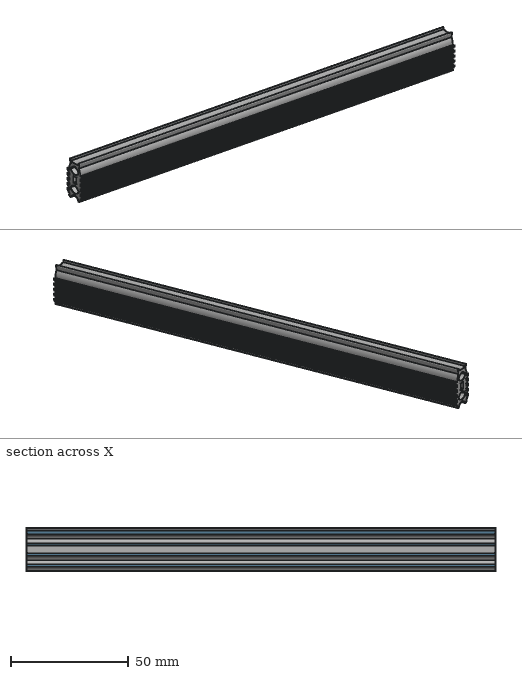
import cadquery as cq
import math

LENGTH = 200
HEIGHT = 18.5
TOP = HEIGHT / 2
BOTTOM = -HEIGHT / 2
WALL_X = 3.8

FIN_TIP_X = 5.2
FIN_COUNT = 5
FIN_PITCH = 2.5
FIRST_FIN_TOP = 3.8
FIN_TIP_HEIGHT = 0.5
FIN_TOP_DROP = 0.5
FIN_ROOT_DROP = 2.0

RAIL_OUTER_X = 3.5
RAIL_INNER_X = 2.5
RAIL_TIP_X = (RAIL_OUTER_X + RAIL_INNER_X) / 2
RAIL_TIP_RADIUS = (RAIL_OUTER_X - RAIL_INNER_X) / 2
RAIL_SIDE_TOP_Z = TOP - RAIL_TIP_RADIUS
CHANNEL_RADIUS = 12.0
CHANNEL_FLOOR_Z = 8.0
CHANNEL_SAG = CHANNEL_RADIUS - math.sqrt(CHANNEL_RADIUS**2 - RAIL_INNER_X**2)
CHANNEL_CORNER_Z = CHANNEL_FLOOR_Z + CHANNEL_SAG

NECK_X = 3.0
NECK_Z = 6.8
SHOULDER_MID_X = 3.5
SHOULDER_MID_Z = 5.5
SHOULDER_END_Z = 4.5

LENS_WIDTH = 5.5
LENS_HEIGHT = 3.5
LENS_SPACING = 9.0
LENS_RADIUS = (LENS_WIDTH**2 + LENS_HEIGHT**2) / (4 * LENS_HEIGHT)

FOOT_OUTER_X = 4.0
FOOT_OUTER_Z = -8.5
FOOT_TIP_X = 3.2
FOOT_INNER_X = LENS_WIDTH / 2
GROOVE_TOP_Z = BOTTOM + LENS_HEIGHT / 2

SLOT_WIDTH = 1.9
SLOT_HEIGHT = 3.2


def section_plane():
    """XZ plane at the +Y end; a positive extrusion runs towards -Y."""
    return cq.Workplane("XZ", origin=(0, LENGTH / 2, 0))


def half_body():
    """The +X half of the profile, from the channel down to the groove."""
    outline = (
        section_plane()
        .moveTo(0, CHANNEL_FLOOR_Z)
        .radiusArc((RAIL_INNER_X, CHANNEL_CORNER_Z), -CHANNEL_RADIUS)
        .lineTo(RAIL_INNER_X, RAIL_SIDE_TOP_Z)
        .threePointArc((RAIL_TIP_X, TOP), (RAIL_OUTER_X, RAIL_SIDE_TOP_Z))
        .lineTo(NECK_X, NECK_Z)
        .threePointArc((SHOULDER_MID_X, SHOULDER_MID_Z), (WALL_X, SHOULDER_END_Z))
    )
    for index in range(FIN_COUNT):
        tip_z = FIRST_FIN_TOP - index * FIN_PITCH
        outline = (
            outline
            .lineTo(WALL_X, tip_z - FIN_TOP_DROP)
            .lineTo(FIN_TIP_X, tip_z)
            .lineTo(FIN_TIP_X, tip_z - FIN_TIP_HEIGHT)
            .lineTo(WALL_X, tip_z - FIN_ROOT_DROP)
        )
    outline = (
        outline
        .lineTo(FOOT_OUTER_X, FOOT_OUTER_Z)
        .lineTo(FOOT_TIP_X, BOTTOM)
        .lineTo(FOOT_INNER_X, BOTTOM)
        .radiusArc((0, GROOVE_TOP_Z), -LENS_RADIUS)
        .close()
    )
    return outline.extrude(LENGTH)


def lens_bore(centre_z):
    """Bore bounded by an upper and a lower arc that meet at its sides."""
    left = (-LENS_WIDTH / 2, centre_z)
    right = (LENS_WIDTH / 2, centre_z)
    return (
        section_plane()
        .moveTo(*left)
        .threePointArc((0, centre_z + LENS_HEIGHT / 2), right)
        .threePointArc((0, centre_z - LENS_HEIGHT / 2), left)
        .close()
        .extrude(LENGTH)
    )


def centre_slot():
    """Rectangular slot through the whole length, between the bores."""
    return section_plane().rect(SLOT_WIDTH, SLOT_HEIGHT).extrude(LENGTH)


right_half = half_body()
body = right_half.union(right_half.mirror("YZ"), clean=True)
for bore_z in (LENS_SPACING / 2, -LENS_SPACING / 2):
    body = body.cut(lens_bore(bore_z))
result = body.cut(centre_slot())